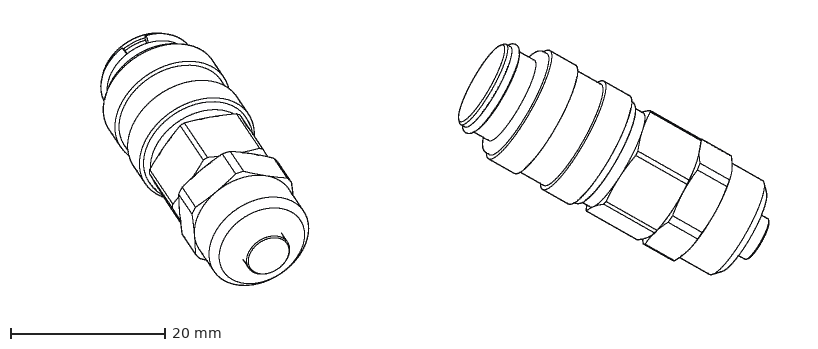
import cadquery as cq
import math


spigot_diameter = 12.0
spigot_face_diameter = 11.4
spigot_bevel = 0.3
ring_groove_diameter = 11.15
ring_groove_start = 0.93
ring_groove_width = 1.15

wire_diameter = 1.0
ring_gap_start = 2.0
ring_gap_end = 32.5

shoulder_diameter = 14.0
sleeve_diameter = 15.1
sleeve_start = 4.6
sleeve_end = 19.07
sleeve_edge_radius = 0.5
band_diameter = 16.15
band_width = 4.2
band_inset = 1.0
band_bevel = 0.13

hex_across_flats = shoulder_diameter
hex_bevel_start_diameter = shoulder_diameter
hex_bevel = 0.25
front_hex_start = 20.6
front_hex_end = 28.9
front_hex_corner_diameter = 15.85
front_hex_angle = 5.6
rear_hex_end = 33.9
rear_hex_corner_diameter = 15.58
rear_hex_angle = 26.0

barrel_end = 39.83
barrel_chamfer = 1.0
stub_diameter = 6.05
stub_root_radius = 0.2
stub_edge_chamfer = 0.15
total_length = 42.1


def cylinder(start, end, diameter):
    """Cylinder on the X axis between two stations."""
    return cq.Workplane("YZ", origin=(start, 0, 0)).circle(diameter / 2).extrude(end - start)


def turned_disc(start, end, edge_diameter, middle_diameter, bevel):
    """Disc on the X axis whose two rims slope down to the edge diameter."""
    profile = [
        (start, 0),
        (start, edge_diameter / 2),
        (start + bevel, middle_diameter / 2),
        (end - bevel, middle_diameter / 2),
        (end, edge_diameter / 2),
        (end, 0),
    ]
    return cq.Workplane("XY").polyline(profile).close().revolve(360, (0, 0, 0), (1, 0, 0))


def hexagon(start, end, corner_diameter, corner_angle):
    """Hexagonal section with turned corners and beveled ends."""
    sharp_diameter = hex_across_flats / math.cos(math.radians(30))
    prism = (
        cq.Workplane("YZ", origin=(start, 0, 0))
        .polygon(6, sharp_diameter)
        .extrude(end - start)
        .rotate((0, 0, 0), (1, 0, 0), -corner_angle)
    )
    return prism.intersect(turned_disc(start, end, hex_bevel_start_diameter, corner_diameter, hex_bevel))


def make_spigot():
    """Front cylinder with a beveled rim and the ring groove."""
    spigot = cylinder(0, sleeve_start, spigot_diameter)
    rim = (
        cq.Workplane("XY")
        .moveTo(0, spigot_face_diameter / 2)
        .lineTo(spigot_bevel, spigot_diameter / 2)
        .lineTo(0, spigot_diameter / 2)
        .close()
        .revolve(360, (0, 0, 0), (1, 0, 0))
    )
    spigot = spigot.cut(rim)
    groove_end = ring_groove_start + ring_groove_width
    groove = cylinder(ring_groove_start, groove_end, spigot_diameter)
    groove = groove.cut(cylinder(ring_groove_start, groove_end, ring_groove_diameter))
    return spigot.cut(groove)


def make_sleeve():
    """Round-ended sleeve with a raised band near each end."""
    sleeve = cylinder(sleeve_start, sleeve_end, sleeve_diameter).edges().fillet(sleeve_edge_radius)
    rear_band_start = sleeve_end - band_inset - band_width
    for start in (sleeve_start + band_inset, rear_band_start):
        band = turned_disc(start, start + band_width, sleeve_diameter, band_diameter, band_bevel)
        sleeve = sleeve.union(band)
    return sleeve


def make_rear_end():
    """Chamfered barrel and the stub that rises from it with a rounded root."""
    barrel = cylinder(rear_hex_end, barrel_end, shoulder_diameter)
    barrel = barrel.faces(">X").edges().chamfer(barrel_chamfer)
    stub_radius = stub_diameter / 2
    root_middle = stub_root_radius * (1 - math.sqrt(0.5))
    stub = (
        cq.Workplane("XY")
        .moveTo(barrel_end, 0)
        .lineTo(barrel_end, stub_radius + stub_root_radius)
        .threePointArc(
            (barrel_end + root_middle, stub_radius + root_middle),
            (barrel_end + stub_root_radius, stub_radius),
        )
        .lineTo(total_length - stub_edge_chamfer, stub_radius)
        .lineTo(total_length, stub_radius - stub_edge_chamfer)
        .lineTo(total_length, 0)
        .close()
        .revolve(360, (0, 0, 0), (1, 0, 0))
    )
    return barrel.union(stub)


def make_coupling():
    """The coupling body, from the front spigot to the rear stub."""
    front_hex = hexagon(front_hex_start, front_hex_end, front_hex_corner_diameter, front_hex_angle)
    rear_hex = hexagon(front_hex_end, rear_hex_end, rear_hex_corner_diameter, rear_hex_angle)
    return (
        make_spigot()
        .union(make_sleeve())
        .union(cylinder(sleeve_end, front_hex_start, shoulder_diameter))
        .union(front_hex)
        .union(rear_hex)
        .union(make_rear_end())
    )


def make_split_ring():
    """Open ring of round wire with radial end faces."""
    ring_radius = (ring_groove_diameter + wire_diameter) / 2
    ring_station = ring_groove_start + wire_diameter / 2
    gap_angle = ring_gap_end - ring_gap_start
    ring = (
        cq.Workplane("XZ")
        .center(ring_station, ring_radius)
        .circle(wire_diameter / 2)
        .revolve(360 - gap_angle, (0, -ring_radius, 0), (-1, -ring_radius, 0))
    )
    return ring.rotate((0, 0, 0), (1, 0, 0), ring_gap_start)


coupling = make_coupling()
split_ring = make_split_ring()

result = cq.Compound.makeCompound([coupling.val(), split_ring.val()])